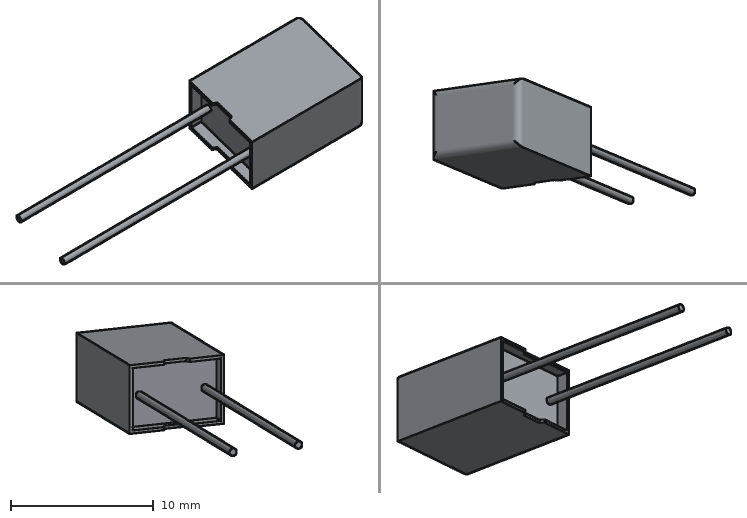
import cadquery as cq

case_width = 7.2
case_length = 10.0
case_height = 5.0
wall = 0.23
end_fillet = 0.5

notch_mouth_width = 1.98
notch_floor_width = 1.6
notch_depth = 0.3

fill_recess = 0.88

overall_length = 26.0
lead_diameter = 0.55
lead_pitch = 5.0
lead_tip_y = case_length - overall_length

cavity_width = case_width - 2 * wall
cavity_height = case_height - 2 * wall
cavity_length = case_length - wall


def block(width, length, height, start_y):
    """Box centred on the Y axis, running towards +Y from start_y."""
    return (
        cq.Workplane("XY")
        .box(width, length, height, centered=(True, False, True))
        .translate((0, start_y, 0))
    )


def make_rim_notches():
    """Tapered cutter that notches both the top and the bottom rim."""
    return (
        cq.Workplane("XY")
        .polyline([
            (-notch_mouth_width / 2, 0),
            (notch_mouth_width / 2, 0),
            (notch_floor_width / 2, notch_depth),
            (-notch_floor_width / 2, notch_depth),
        ])
        .close()
        .extrude(case_height / 2, both=True)
    )


def make_case():
    """Thin-walled case with a rounded closed end and a notched open end."""
    outer = block(case_width, case_length, case_height, 0).faces(">Y").edges().fillet(end_fillet)
    cavity = block(cavity_width, cavity_length, cavity_height, 0)
    return outer.cut(cavity).cut(make_rim_notches())


def make_filling():
    """Potting block that fills the cavity behind the recess."""
    return block(cavity_width, cavity_length - fill_recess, cavity_height, fill_recess)


def make_lead(x):
    """Straight round wire from the filling's exposed face to the lead tip."""
    return (
        cq.Workplane("XZ", origin=(x, fill_recess, 0))
        .circle(lead_diameter / 2)
        .extrude(fill_recess - lead_tip_y)
    )


case = make_case()
filling = make_filling()
leads = [make_lead(side * lead_pitch / 2) for side in (-1, 1)]

result = cq.Compound.makeCompound([case.val(), filling.val(), *[lead.val() for lead in leads]])